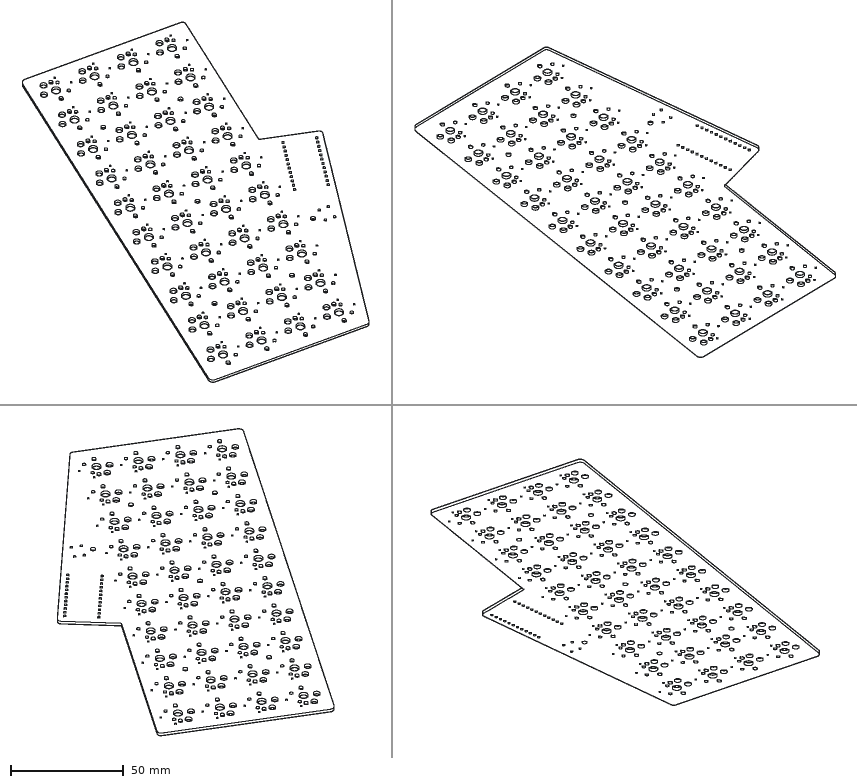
import cadquery as cq
import math

thickness = 1.6
key_pitch = 19.05
columns = 10
rows = 4
key_margin = 2.285
back_margin = 2.125
board_width = columns * key_pitch + 2 * key_margin
right_edge_lean = 0.03
board_height = rows * key_pitch + key_margin + back_margin
front_corner_radius = 2.25
back_corner_radius = 1.75
overall_height = 107.87

tab_tilt = 15.06
tab_root_x = 76.72

stem_diameter = 3.99
mount_diameter = 1.7
mount_offsets = [5.08, 5.5]
pin_diameter = 1.5
pin_positions = [(-3.81, 2.54), (2.54, 5.08)]
socket_diameter = 3.0
socket_positions = [(-5.0, -3.77), (0.0, -5.95)]
via_diameter = 0.7
via_positions = [(-1.33, 8.07), (-6.855, 2.57)]

header_rows = 2
header_pins = 12
header_pitch = 2.54
header_row_spacing = 15.24
header_pin_diameter = 1.09
header_start = (86.94, 104.2)

button_diameter = 1.1
button_spacing_x = 6.5
button_spacing_y = 4.5
button_center = (128.77, 89.14)

screw_diameter = 2.2
screw_cells = [(1.5, 0.5), (1.5, 2.5), (4.5, 1.5), (7.5, 0.5), (7.5, 2.5)]
tab_screw = (128.77, 82.285)

tilt = math.radians(tab_tilt)
along = (math.cos(tilt), -math.sin(tilt))
across = (-math.sin(tilt), -math.cos(tilt))


def key_center(column, row):
    """Centre of a key cell; fractional indices fall between keys."""
    x = key_margin + (column + 0.5) * key_pitch
    y = key_margin + (row + 0.5) * key_pitch
    return x, y


def board():
    slope = math.tan(tilt)
    apex_y = overall_height + back_corner_radius * (math.sin(tilt) + math.cos(tilt) - 1)
    apex_x = tab_root_x + (apex_y - board_height) * slope
    right_x = board_width - right_edge_lean
    right_y = apex_y - (right_x - apex_x) * slope
    front_corners = [(0, 0), (board_width, 0)]
    back_corners = [(right_x, right_y), (apex_x, apex_y), (0, board_height)]
    tab_root = (tab_root_x, board_height)
    outline = front_corners + back_corners[:2] + [tab_root] + back_corners[2:]
    plate = cq.Workplane("XY").polyline(outline).close().extrude(thickness)
    plate = round_corners(plate, front_corners, front_corner_radius)
    return round_corners(plate, back_corners, back_corner_radius)


def round_corners(plate, corners, radius):
    for x, y in corners:
        corner_edge = cq.selectors.NearestToPointSelector((x, y, thickness / 2))
        plate = plate.edges(corner_edge).fillet(radius)
    return plate


def drill(positions, diameter):
    """Through-hole cutters for one set of holes."""
    return cq.Workplane("XY").pushPoints(positions).circle(diameter / 2).extrude(thickness)


def at_every_key(offsets):
    positions = []
    for column in range(columns):
        for row in range(rows):
            x, y = key_center(column, row)
            positions += [(x + dx, y + dy) for dx, dy in offsets]
    return positions


def header_positions():
    positions = []
    for row in range(header_rows):
        for pin in range(header_pins):
            step = pin * header_pitch
            offset = row * header_row_spacing
            x = header_start[0] + step * along[0] + offset * across[0]
            y = header_start[1] + step * along[1] + offset * across[1]
            positions.append((x, y))
    return positions


def button_positions():
    x, y = button_center
    half_x = button_spacing_x / 2
    half_y = button_spacing_y / 2
    return [(x + sx * half_x, y + sy * half_y) for sx in (-1, 1) for sy in (-1, 1)]


def screw_positions():
    """Screws sit where four key cells meet, plus one on the tab."""
    positions = [key_center(column, row) for column, row in screw_cells]
    positions.append(tab_screw)
    return positions


def hole_sets():
    """Every set of round through holes, as (positions, diameter)."""
    sets = [
        (at_every_key([(0, 0)]), stem_diameter),
        (at_every_key(pin_positions), pin_diameter),
        (at_every_key(socket_positions), socket_diameter),
        (at_every_key(via_positions), via_diameter),
        (header_positions(), header_pin_diameter),
        (button_positions(), button_diameter),
        (screw_positions(), screw_diameter),
    ]
    for offset in mount_offsets:
        sets.append((at_every_key([(-offset, 0), (offset, 0)]), mount_diameter))
    return sets


result = board()
for hole_positions, hole_diameter in hole_sets():
    result = result.cut(drill(hole_positions, hole_diameter))